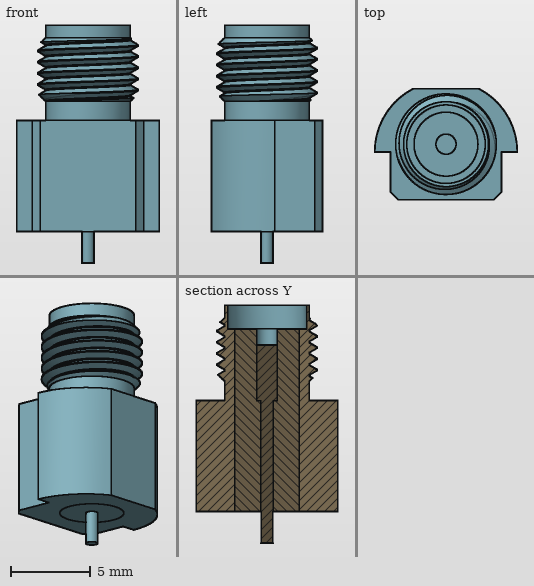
import cadquery as cq
import math

overall_height = 15.0
block_bottom = 2.0
block_top = 9.0
thread_bottom = 10.2
thread_top = 14.2
recess_depth = 1.5
recess_floor = overall_height - recess_depth

block_width = 7.0
wing_radius = 4.5
wing_center_y = -0.5
corner_chamfer = 0.5

barrel_diameter = 5.35
recess_diameter = 4.95
thread_diameter = 6.35
thread_pitch = 0.7
crest_flat = 0.06
root_flat = 0.08
root_clearance = 0.02

insulator_diameter = 4.04
head_diameter = 1.28
tail_diameter = 0.76
head_bottom = block_top
socket_depth = 1.0
head_top = recess_floor - socket_depth


def cylinder(diameter, bottom, top):
    """Solid cylinder on the Z axis between two heights."""
    return cq.Workplane("XY").workplane(offset=bottom).circle(diameter / 2).extrude(top - bottom)


def make_block():
    """Square block with a chamfered front and round wings behind a step."""
    w = block_width / 2
    wing_rise = w - wing_center_y
    flat_half_width = math.sqrt(wing_radius**2 - wing_rise**2)
    mid_angle = math.asin(wing_rise / wing_radius) / 2
    mid_x = wing_radius * math.cos(mid_angle)
    mid_y = wing_center_y + wing_radius * math.sin(mid_angle)
    return (
        cq.Workplane("XY")
        .workplane(offset=block_bottom)
        .moveTo(-w + corner_chamfer, -w)
        .lineTo(w - corner_chamfer, -w)
        .lineTo(w, -w + corner_chamfer)
        .lineTo(w, wing_center_y)
        .lineTo(wing_radius, wing_center_y)
        .threePointArc((mid_x, mid_y), (flat_half_width, w))
        .lineTo(-flat_half_width, w)
        .threePointArc((-mid_x, mid_y), (-wing_radius, wing_center_y))
        .lineTo(-w, wing_center_y)
        .lineTo(-w, -w + corner_chamfer)
        .close()
        .extrude(block_top - block_bottom)
    )


def helical_bar(profile, start_height, turns):
    """Solid swept by a (radius, height) profile along a right-handed helix, made of ruled faces."""
    edges = [
        cq.Wire.makeHelix(thread_pitch, turns * thread_pitch, radius, cq.Vector(0, 0, start_height + height))
        for radius, height in profile
    ]
    neighbours = edges[1:] + edges[:1]
    sides = [cq.Face.makeRuledSurface(edge, neighbour) for edge, neighbour in zip(edges, neighbours)]
    start_cap = cq.Face.makeFromWires(cq.Wire.makePolygon([e.startPoint() for e in edges], close=True))
    end_cap = cq.Face.makeFromWires(cq.Wire.makePolygon([e.endPoint() for e in edges], close=True))
    return cq.Solid.makeSolid(cq.Shell.makeShell(sides + [start_cap, end_cap])).fix()


def make_thread():
    """Right-handed thread: a cylinder with tapered ends and a helical V groove."""
    end_chamfer = (thread_diameter - barrel_diameter) / 2
    blank = cylinder(thread_diameter, thread_bottom, thread_top).faces("<Z or >Z").chamfer(end_chamfer)

    groove_start = thread_bottom - thread_pitch / 2
    turns = math.ceil((thread_top - groove_start) / thread_pitch)
    crest_radius = thread_diameter / 2
    root_radius = barrel_diameter / 2 + root_clearance
    mouth_half = (thread_pitch - crest_flat) / 2
    root_half = root_flat / 2
    groove_profile = [
        (root_radius, -root_half),
        (crest_radius, -mouth_half),
        (crest_radius, mouth_half),
        (root_radius, root_half),
    ]
    return blank.cut(cq.Workplane(obj=helical_bar(groove_profile, groove_start, turns)))


def make_housing():
    """Block and threaded barrel, with a top recess and an insulator bore."""
    barrel = cylinder(barrel_diameter, block_top, overall_height)
    recess = cylinder(recess_diameter, recess_floor, overall_height)
    bore = cylinder(insulator_diameter, block_bottom, recess_floor)
    return make_block().union(barrel).union(make_thread()).cut(recess).cut(bore)


def make_insulator():
    """Sleeve flush with the recess floor, stepped inside to hold the contact."""
    sleeve = cylinder(insulator_diameter, block_bottom, recess_floor)
    head_hole = cylinder(head_diameter, head_bottom, recess_floor)
    tail_hole = cylinder(tail_diameter, block_bottom, head_bottom)
    return sleeve.cut(head_hole).cut(tail_hole)


def make_contact():
    """Wide head below the insulator face and a thin tail out of the block."""
    tail = cylinder(tail_diameter, 0, head_bottom)
    head = cylinder(head_diameter, head_bottom, head_top)
    return tail.union(head)


housing = make_housing()
insulator = make_insulator()
contact = make_contact()

result = cq.Compound.makeCompound([housing.solids().val(), insulator.solids().val(), contact.solids().val()])